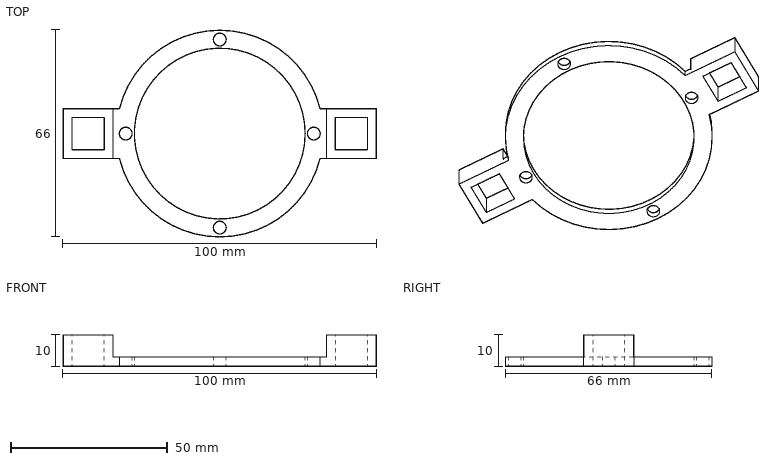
import cadquery as cq

ring_outer_diameter = 66
ring_inner_diameter = 54.4
ring_thickness = 3

screw_hole_diameter = 4
screw_circle_radius = 30
screw_hole_count = 4

overall_length = 100
socket_size = 16
socket_height = 10
socket_opening = 10.2
socket_center = (overall_length - socket_size) / 2


def make_base():
    """Flat disc with a straight bar joining the two sockets."""
    disc = cq.Workplane("XY").circle(ring_outer_diameter / 2).extrude(ring_thickness)
    bar = cq.Workplane("XY").rect(2 * socket_center, socket_size).extrude(ring_thickness)
    return disc.union(bar)


def at_sockets():
    """Workplane with a point at the centre of each socket."""
    return cq.Workplane("XY").pushPoints([(-socket_center, 0), (socket_center, 0)])


sockets = at_sockets().rect(socket_size, socket_size).extrude(socket_height)
openings = at_sockets().rect(socket_opening, socket_opening).extrude(socket_height)
bore = cq.Workplane("XY").circle(ring_inner_diameter / 2).extrude(ring_thickness)
screw_holes = (
    cq.Workplane("XY")
    .polarArray(screw_circle_radius, 0, 360, screw_hole_count)
    .circle(screw_hole_diameter / 2)
    .extrude(ring_thickness)
)

result = make_base().union(sockets).cut(bore).cut(openings).cut(screw_holes)